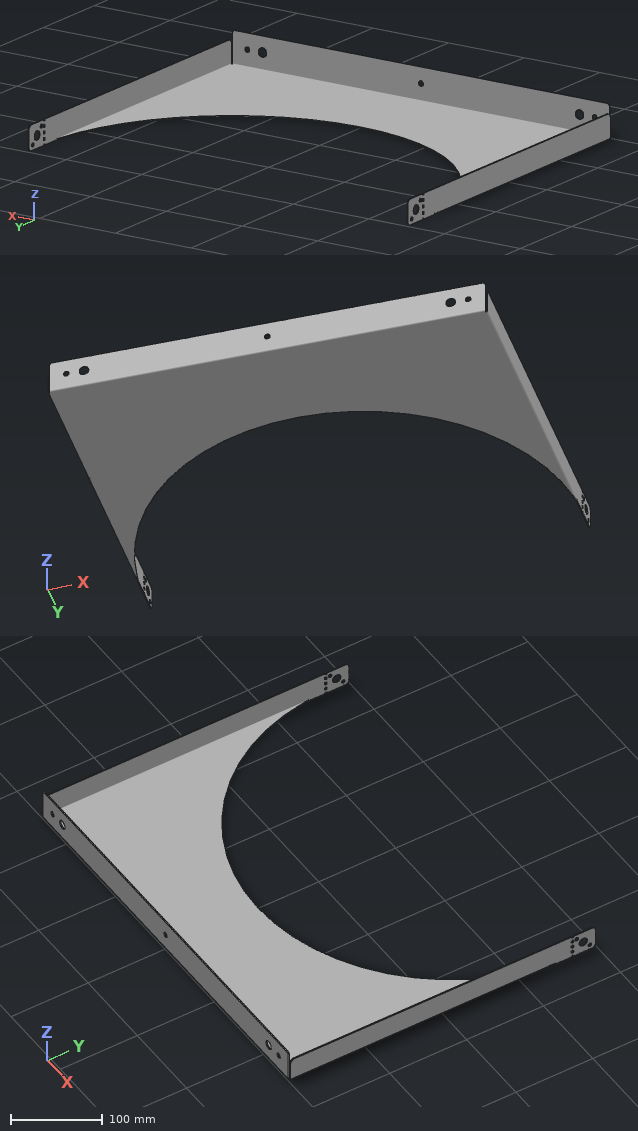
import cadquery as cq

width = 502.0
depth = 398.5
front_height = 40.0
side_height = 30.0
sheet = 1.5
inner_bend_radius = 0.5
outer_bend_radius = inner_bend_radius + sheet
corner_relief = outer_bend_radius
front_corner_radius = 3.0
side_corner_radius = 5.0
flat_tab_length = 52.0

cutout_radius = width / 2
cutout_center_from_rear = 27.0

front_hole_height = 21.0
large_hole_diameter = 10.5
small_hole_diameter = 6.0
large_hole_offset = 209.5
small_hole_offset = 229.5

mount_hole_from_rear = 16.0
mount_hole_diameter = 10.5
screw_hole_offset = 8.5
screw_hole_diameter = 4.3
perforation_from_rear = 30.0
perforation_diameter = 3.3
perforation_count = 5

front_y = -depth / 2
rear_y = depth / 2
side_middle = side_height / 2


def block(x_range, y_range, z_range):
    """Box spanning the given (low, high) ranges."""
    sizes = [high - low for low, high in (x_range, y_range, z_range)]
    return cq.Workplane("XY").box(*sizes, centered=False).translate((x_range[0], y_range[0], z_range[0]))


def round_bends(body, radius):
    """Round the bottom edges along the front and both sides."""
    return body.edges("(|Y and <Z) or (|X and <Z and <Y)").fillet(radius)


def x_hole(y, z, diameter):
    """Cylinder through both side flanges."""
    return cq.Workplane("YZ", origin=(-width, y, z)).circle(diameter / 2).extrude(2 * width)


def y_hole(x, z, diameter):
    """Cylinder through the front flange."""
    flange_drill = cq.Workplane("XZ", origin=(x, front_y + 2 * sheet, z))
    return flange_drill.circle(diameter / 2).extrude(4 * sheet)


def folded_tray():
    """Floor with upright front and side flanges, open at the rear."""
    half = width / 2
    outside = round_bends(block((-half, half), (front_y, rear_y), (0, front_height)), outer_bend_radius)
    inner_half = half - sheet
    inside = block(
        (-inner_half, inner_half), (front_y + sheet, rear_y + sheet), (sheet, front_height + sheet)
    )
    return outside.cut(round_bends(inside, inner_bend_radius))


def flat_tabs():
    """Unbent rear stretches of the side flanges, flat down to the bottom."""
    tab_y = (rear_y - flat_tab_length, rear_y)
    left = block((-width / 2, sheet - width / 2), tab_y, (0, side_height))
    return left.union(left.mirror("YZ"))


def flange_trim():
    """Envelopes that set the flange outlines and leave the front corners open."""
    half_front = width / 2 - corner_relief
    side_start = front_y + corner_relief
    front = block((-half_front, half_front), (front_y, rear_y), (0, front_height))
    front = front.edges("|Y and >Z").fillet(front_corner_radius)
    side = block((-width / 2, width / 2), (side_start, rear_y), (0, side_height))
    side = side.edges("|X and (>Z or >Y)").fillet(side_corner_radius)
    return front.union(side)


def floor_cutout():
    """Circle opening to the rear between the side flanges."""
    inner_half = width / 2 - sheet
    center_y = rear_y - cutout_center_from_rear
    circle = cq.Workplane("XY", origin=(0, center_y, 0)).circle(cutout_radius).extrude(front_height)
    between_flanges = block((-inner_half, inner_half), (front_y, rear_y), (0, front_height))
    rear_opening = block((-inner_half, inner_half), (rear_y - flat_tab_length, rear_y), (0, front_height))
    return circle.intersect(between_flanges).union(rear_opening)


result = folded_tray().union(flat_tabs()).intersect(flange_trim()).cut(floor_cutout())

result = result.cut(y_hole(0, front_hole_height, small_hole_diameter))
for side in (-1, 1):
    result = result.cut(y_hole(side * small_hole_offset, front_hole_height, small_hole_diameter))
    result = result.cut(y_hole(side * large_hole_offset, front_hole_height, large_hole_diameter))

mount_y = rear_y - mount_hole_from_rear
result = result.cut(x_hole(mount_y, side_middle, mount_hole_diameter))
for side in (-1, 1):
    shift = side * screw_hole_offset
    result = result.cut(x_hole(mount_y - shift, side_middle + shift, screw_hole_diameter))

perforation_pitch = side_height / (perforation_count - 1)
for index in range(perforation_count):
    hole_z = index * perforation_pitch
    result = result.cut(x_hole(rear_y - perforation_from_rear, hole_z, perforation_diameter))